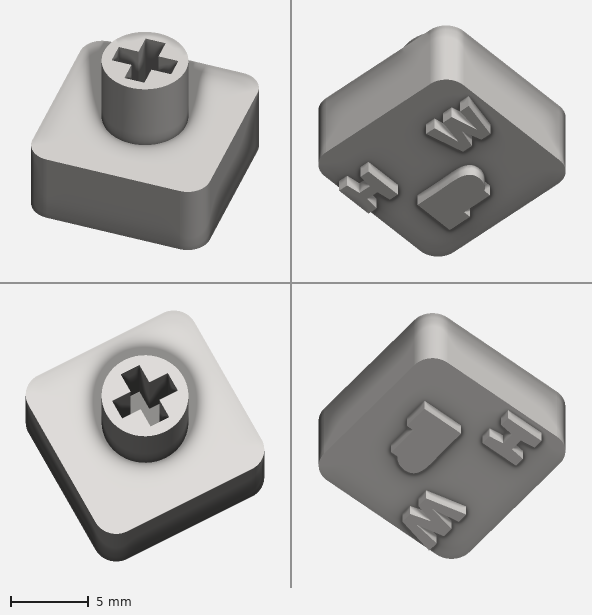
import cadquery as cq

housing_x = 12.14
housing_y = 12.2
housing_height = 5
corner_radius = 1.51

post_diameter = 5.6
post_height = 4.8
socket_span = 4.07
socket_width = 1.37
socket_depth = post_height

pad_height = 0.9
rear_pads_front_y = 0.82
rear_pads_back_y = 3.62
rear_pads_mid_y = (rear_pads_front_y + rear_pads_back_y) / 2

zigzag_center_x = -3.78
zigzag_half_width = 1.87
zigzag_foot_outer = 1.2
zigzag_foot_inner = 0.41
zigzag_stroke = 0.76
zigzag_valley_rise = 0.85

h_center_x = 4.39
h_half_width = 1.28
h_leg_gap_outer = 0.59
h_leg_gap_inner = 0.45
h_half_bar = 0.37

hook_left_x = -1.76
hook_step_x = -1.22
hook_bowl_end_x = 1.04
hook_right_x = 2.8
hook_back_y = -0.73
hook_bulge_y = -1.66
hook_bowl_front_y = -2.72
hook_step_y = -3.25
hook_front_y = -3.81


def make_housing():
    block = cq.Workplane("XY").box(housing_x, housing_y, housing_height, centered=(True, True, False))
    return block.edges("|Z").fillet(corner_radius)


def make_post():
    post = cq.Workplane("XY").workplane(offset=housing_height).circle(post_diameter / 2).extrude(post_height)
    top = cq.Workplane("XY").workplane(offset=housing_height + post_height)
    arm_x = top.rect(socket_span, socket_width).extrude(-socket_depth)
    arm_y = top.rect(socket_width, socket_span).extrude(-socket_depth)
    return post.cut(arm_x).cut(arm_y)


def mirrored_pad(center_x, half_outline):
    """Pad symmetric about center_x; half_outline lists its right half as offsets from that line."""
    left_half = [(-x, y) for x, y in reversed(half_outline) if x > 0]
    points = [(center_x + x, y) for x, y in half_outline + left_half]
    return cq.Workplane("XY").polyline(points).close().extrude(-pad_height)


def make_zigzag_pad():
    foot_center = (zigzag_foot_outer + zigzag_foot_inner) / 2
    half_outline = [
        (0, rear_pads_mid_y),
        (zigzag_foot_inner, rear_pads_front_y),
        (zigzag_foot_outer, rear_pads_front_y),
        (zigzag_half_width, rear_pads_back_y),
        (zigzag_half_width - zigzag_stroke, rear_pads_back_y),
        (foot_center, rear_pads_front_y + zigzag_valley_rise),
        (zigzag_stroke / 2, rear_pads_back_y),
    ]
    return mirrored_pad(zigzag_center_x, half_outline)


def make_h_pad():
    half_outline = [
        (h_leg_gap_inner, rear_pads_mid_y - h_half_bar),
        (h_leg_gap_outer, rear_pads_front_y),
        (h_half_width, rear_pads_front_y),
        (h_half_width, rear_pads_back_y),
        (h_leg_gap_outer, rear_pads_back_y),
        (h_leg_gap_inner, rear_pads_mid_y + h_half_bar),
    ]
    return mirrored_pad(h_center_x, half_outline)


def make_hook_pad():
    return (
        cq.Workplane("XY")
        .moveTo(hook_right_x, hook_back_y)
        .lineTo(hook_bowl_end_x, hook_back_y)
        .spline([(hook_left_x, hook_bulge_y)], tangents=[(-1, 0), (0, -1)], includeCurrent=True)
        .tangentArcPoint((hook_step_x, hook_bowl_front_y), relative=False)
        .lineTo(hook_step_x, hook_step_y)
        .lineTo(hook_bowl_end_x, hook_step_y)
        .lineTo(hook_bowl_end_x, hook_front_y)
        .lineTo(hook_right_x, hook_front_y)
        .close()
        .extrude(-pad_height)
    )


result = make_housing().union(make_post())
for pad in (make_zigzag_pad(), make_h_pad(), make_hook_pad()):
    result = result.union(pad)